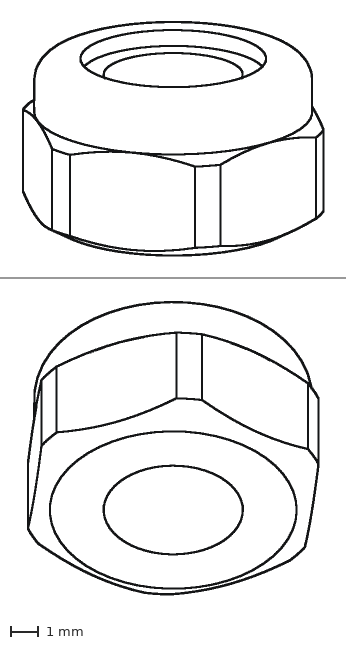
import cadquery as cq
import math

across_flats = 10.0
corner_diameter = 11.05
total_height = 6.0
hex_height = 4.0
collar_diameter = 9.99
collar_fillet = 0.83
bottom_face_diameter = 8.86
chamfer_angle = math.radians(30)
recess_diameter = 6.66
recess_depth = 0.6
bore_diameter = 5.0

corner_radius = corner_diameter / 2
collar_radius = collar_diameter / 2
bottom_face_radius = bottom_face_diameter / 2
across_corners = across_flats / math.cos(math.radians(30))


def chamfer_height(inner_radius):
    """Height of a cone running from inner_radius out to the turned corners."""
    return (corner_radius - inner_radius) * math.tan(chamfer_angle)


def turned_envelope():
    """Round blank with conical chamfers that trims the hexagon corners."""
    return (
        cq.Workplane("XZ")
        .moveTo(0, 0)
        .lineTo(bottom_face_radius, 0)
        .lineTo(corner_radius, chamfer_height(bottom_face_radius))
        .lineTo(corner_radius, hex_height - chamfer_height(collar_radius))
        .lineTo(collar_radius, hex_height)
        .lineTo(0, hex_height)
        .close()
        .revolve(360, (0, 0, 0), (0, 1, 0))
    )


def hex_body():
    """Hexagon with corners on the X axis and flats facing +Y and -Y."""
    prism = cq.Workplane("XY").polygon(6, across_corners).extrude(hex_height)
    return prism.intersect(turned_envelope())


def collar():
    """Round collar above the hexagon, with a rounded top rim."""
    return (
        cq.Workplane("XY")
        .workplane(offset=hex_height)
        .circle(collar_radius)
        .extrude(total_height - hex_height)
        .faces(">Z")
        .edges()
        .fillet(collar_fillet)
    )


nut = hex_body().union(collar())

nut = nut.cut(cq.Workplane("XY").circle(bore_diameter / 2).extrude(total_height))
recess = (
    cq.Workplane("XY")
    .workplane(offset=total_height - recess_depth)
    .circle(recess_diameter / 2)
    .extrude(recess_depth)
)
result = nut.cut(recess)